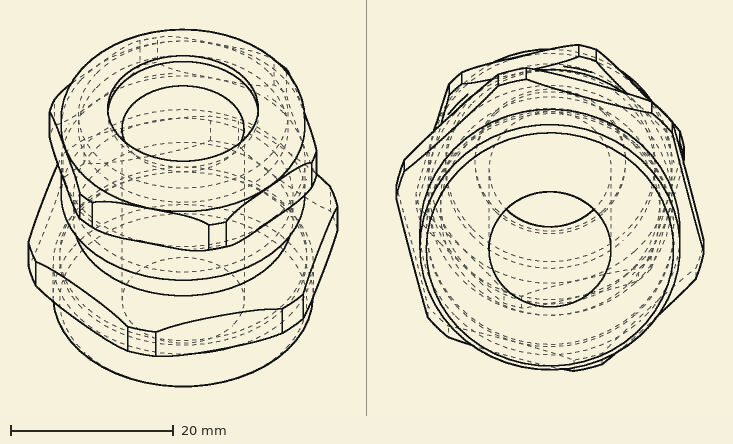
import cadquery as cq
import math

total_height = 33.0
bore_diameter = 15.0

base_diameter = 32.0
base_height = 7.2
groove_diameter = 30.4

base_chamfer = (base_diameter - groove_diameter) / 2

lower_hex_bottom = 8.0
lower_hex_top = 13.97
lower_hex_flats = 35.0
lower_hex_corners = 38.5
lower_hex_face_diameter = 34.0

neck_diameter = 27.0
collar_diameter = 30.0
collar_bottom = 18.13

upper_hex_bottom = 23.95
upper_hex_top = 29.95
upper_hex_flats = 30.05
upper_hex_corners = 33.52
upper_hex_face_diameter = 30.95

hex_bevel_height = 0.9
hex_bevel_bulge = 0.15

rim_fillet = 1.9
mouth_diameter = 18.5
lip_thickness = 1.0
cavity_diameter = 25.8
cavity_depth = 3.45


def disc(diameter, bottom, top):
    """Cylinder on the Z axis between two heights."""
    return cq.Workplane("XY").workplane(offset=bottom).circle(diameter / 2).extrude(top - bottom)


def crowned_disc(corners, face_diameter, bottom, top):
    """Disc whose two rims slope down from flat end faces along slightly bulging arcs."""
    rim = corners / 2
    face = face_diameter / 2
    return (
        cq.Workplane("XZ")
        .moveTo(0, bottom)
        .lineTo(face, bottom)
        .sagittaArc((rim, bottom + hex_bevel_height), -hex_bevel_bulge)
        .lineTo(rim, top - hex_bevel_height)
        .sagittaArc((face, top), -hex_bevel_bulge)
        .lineTo(0, top)
        .close()
        .revolve(360, (0, 0, 0), (0, 1, 0))
    )


def hexagon(flats, corners, face_diameter, bottom, top, turn):
    """Hexagon with its corners turned to a cylinder and bevelled at both ends."""
    sharp_corners = flats / math.cos(math.pi / 6)
    prism = (
        cq.Workplane("XY")
        .workplane(offset=bottom)
        .polygon(6, sharp_corners)
        .extrude(top - bottom)
        .rotate((0, 0, 0), (0, 0, 1), turn)
    )
    return prism.intersect(crowned_disc(corners, face_diameter, bottom, top))


base = disc(base_diameter, 0, base_height).edges().chamfer(base_chamfer)
groove = disc(groove_diameter, base_height, lower_hex_bottom)
neck = disc(neck_diameter, lower_hex_top, collar_bottom)
collar = disc(collar_diameter, collar_bottom, total_height).faces(">Z").edges().fillet(rim_fillet)

lower_hex = hexagon(
    lower_hex_flats, lower_hex_corners, lower_hex_face_diameter, lower_hex_bottom, lower_hex_top, 30
)
upper_hex = hexagon(
    upper_hex_flats, upper_hex_corners, upper_hex_face_diameter, upper_hex_bottom, upper_hex_top, 0
)

bore = disc(bore_diameter, 0, total_height)
mouth = disc(mouth_diameter, total_height - lip_thickness, total_height)
cavity = disc(cavity_diameter, total_height - cavity_depth, total_height - lip_thickness)

body = base.union(groove).union(lower_hex).union(neck).union(collar).union(upper_hex)
result = body.cut(bore).cut(mouth).cut(cavity)